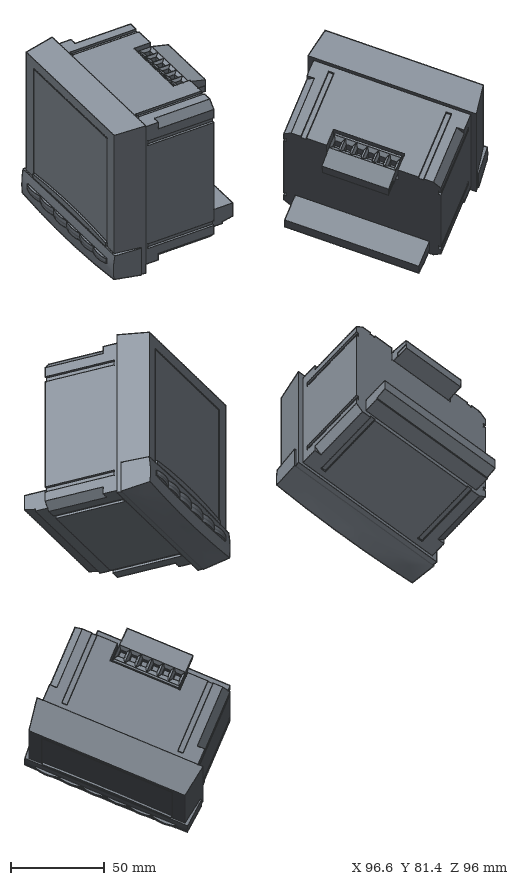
import cadquery as cq


BEZEL_SIZE = 96.0
BEZEL_DEPTH = 18.0
BEZEL_SIDE_TAPER = 2.9
BEZEL_TOP_TAPER = 1.45
BEZEL_FOOT_DEPTH = 2.8
HALF_BEZEL = BEZEL_SIZE / 2

WINDOW_WIDTH = 75.3
WINDOW_TOP = 40.1
WINDOW_DEPTH = 0.5
LIP_WIDTH = 74.6
LIP_END_TOP = -27.8
LIP_MID_TOP = -25.7
LIP_FRONT = -18.7

COVER_WIDTH = 96.6
COVER_FRONT_WIDTH = 93.9
COVER_TOP = -30.4
COVER_MID_TOP = -29.5
COVER_CORNER_BOTTOM = -45.5
COVER_TOP_FRONT = -19.2
COVER_BULGE_Z = -38.6
COVER_FRONT = -20.2
COVER_TRIM = 0.4
COVER_BOTTOM_FRONT = -19.6
COVER_SAGITTA = 0.6

KEY_COUNT = 6
KEY_PITCH = 13.5
KEY_FRONT = -21.3
KEY_EDGE_FRONT = -20.3
KEY_CREASE = -37.9
KEY_MID_TOP = -35.4
KEY_END_TOP = -35.8
KEY_MID_BOTTOM = -40.4
KEY_END_BOTTOM = -38.8
KEY_LEAN = 0.2

BODY_SIZE = 89.6
BODY_DEPTH = 44.3
HALF_BODY = BODY_SIZE / 2
CORNER_CHAMFER = 4.25
CHAMFER_START = 9.8
GROOVE_WIDTH = 3.0
GROOVE_OFFSET = 33.5
GROOVE_START = 3.2
GROOVE_DEPTH = 1.45

POCKET_WIDTH = 40.6
POCKET_FRONT = 34.2
CONNECTOR_WIDTH = 38.1
CONNECTOR_FRONT = 35.1
CONNECTOR_BACK = 54.8
CONNECTOR_BOTTOM = 32.8
CONNECTOR_TOP = 43.1
CONNECTOR_SHELF_TOP = 40.6
CONNECTOR_BACK_TOP = 40.5
RELIEF_TOP = 36.6
RELIEF_FRONT = 47.7
RELIEF_DEPTH = 0.2

HOLE_COUNT = 6
HOLE_PITCH = CONNECTOR_WIDTH / HOLE_COUNT
FUNNEL_FRONT = 36.2
FUNNEL_DEPTH = 1.45
HOLE_WIDTH = 3.5
HOLE_FRONT = 38.7
HOLE_BACK = 42.4
HOLE_BOTTOM = 35.7

TERMINAL_WIDTH = 76.5
TERMINAL_BACK = 60.1
TERMINAL_TOP = -30.0
TERMINAL_BOTTOM = -41.1
TERMINAL_BACK_BOTTOM = -38.6
TERMINAL_STEP_Y = 53.5
TERMINAL_STEP_Z = -40.0


def block(x0, x1, y0, y1, z0, z1):
    """Box between two opposite corners."""
    return cq.Workplane("XY").box(x1 - x0, y1 - y0, z1 - z0, centered=False).translate((x0, y0, z0))


def centred_block(width, y0, y1, z0, z1):
    """Box of the given width, centred on X = 0."""
    return block(-width / 2, width / 2, y0, y1, z0, z1)


def side_prism(width, points):
    """Prism along X, centred on X = 0, from an outline of (y, z) points."""
    return cq.Workplane("YZ").polyline(points).close().extrude(width / 2, both=True)


def lens_wire(plane, half_width, end_top, mid_top, end_bottom, mid_bottom):
    """Closed outline with upright ends, an arched top and an arched bottom."""
    return (
        plane.moveTo(-half_width, end_bottom)
        .lineTo(-half_width, end_top)
        .threePointArc((0, mid_top), (half_width, end_top))
        .lineTo(half_width, end_bottom)
        .threePointArc((0, mid_bottom), (-half_width, end_bottom))
        .close()
    )


def make_body():
    body = centred_block(BODY_SIZE, 0, BODY_DEPTH, -HALF_BODY, HALF_BODY)
    corner = (
        cq.Workplane("XZ", origin=(0, CHAMFER_START, 0))
        .polyline([
            (HALF_BODY, HALF_BODY),
            (HALF_BODY - CORNER_CHAMFER, HALF_BODY),
            (HALF_BODY, HALF_BODY - CORNER_CHAMFER),
        ])
        .close()
        .extrude(CHAMFER_START - BODY_DEPTH)
    )
    groove_pair = cq.Workplane("XY")
    for offset in (-GROOVE_OFFSET, GROOVE_OFFSET):
        groove_pair = groove_pair.union(block(
            offset - GROOVE_WIDTH / 2, offset + GROOVE_WIDTH / 2,
            GROOVE_START, BODY_DEPTH,
            HALF_BODY - GROOVE_DEPTH, HALF_BODY,
        ))
    for angle in (0, 90, 180, 270):
        body = body.cut(corner.union(groove_pair).rotate((0, 0, 0), (0, 1, 0), angle))
    return body.cut(centred_block(POCKET_WIDTH, POCKET_FRONT, BODY_DEPTH, CONNECTOR_BOTTOM, HALF_BODY))


def make_connector():
    connector = side_prism(CONNECTOR_WIDTH, [
        (POCKET_FRONT, CONNECTOR_BOTTOM),
        (POCKET_FRONT, CONNECTOR_SHELF_TOP),
        (CONNECTOR_FRONT, CONNECTOR_SHELF_TOP),
        (CONNECTOR_FRONT, CONNECTOR_TOP),
        (BODY_DEPTH, CONNECTOR_TOP),
        (CONNECTOR_BACK, CONNECTOR_BACK_TOP),
        (CONNECTOR_BACK, CONNECTOR_BOTTOM),
    ])
    half_width = CONNECTOR_WIDTH / 2
    for x in (-half_width, half_width):
        connector = connector.cut(block(
            x - RELIEF_DEPTH, x + RELIEF_DEPTH,
            RELIEF_FRONT, CONNECTOR_BACK,
            CONNECTOR_BOTTOM, RELIEF_TOP,
        ))
    mouth_y = (FUNNEL_FRONT + BODY_DEPTH) / 2
    hole_y = (HOLE_FRONT + HOLE_BACK) / 2
    funnel = (
        cq.Workplane("XY", origin=(0, mouth_y, CONNECTOR_TOP))
        .rect(HOLE_PITCH, BODY_DEPTH - FUNNEL_FRONT)
        .workplane(offset=-FUNNEL_DEPTH)
        .center(0, hole_y - mouth_y)
        .rect(HOLE_WIDTH, HOLE_BACK - HOLE_FRONT)
        .loft(ruled=True)
    )
    hole = centred_block(HOLE_WIDTH, HOLE_FRONT, HOLE_BACK, HOLE_BOTTOM, CONNECTOR_TOP)
    entry = funnel.union(hole)
    for i in range(HOLE_COUNT):
        connector = connector.cut(entry.translate(((i + 0.5) * HOLE_PITCH - half_width, 0, 0)))
    return connector


def make_terminal_block():
    return side_prism(TERMINAL_WIDTH, [
        (BODY_DEPTH, TERMINAL_TOP),
        (TERMINAL_BACK, TERMINAL_TOP),
        (TERMINAL_BACK, TERMINAL_BACK_BOTTOM),
        (TERMINAL_STEP_Y, TERMINAL_STEP_Z),
        (TERMINAL_STEP_Y, TERMINAL_BOTTOM),
        (BODY_DEPTH, TERMINAL_BOTTOM),
    ])


def make_bezel():
    front_half = HALF_BEZEL - BEZEL_SIDE_TAPER
    plan = (
        cq.Workplane("XY", origin=(0, 0, -HALF_BEZEL))
        .polyline([
            (-HALF_BEZEL, 0),
            (HALF_BEZEL, 0),
            (front_half, -BEZEL_DEPTH),
            (-front_half, -BEZEL_DEPTH),
        ])
        .close()
        .extrude(BEZEL_SIZE)
    )
    profile = side_prism(BEZEL_SIZE, [
        (0, -HALF_BEZEL),
        (0, HALF_BEZEL),
        (-BEZEL_DEPTH, HALF_BEZEL - BEZEL_TOP_TAPER),
        (-BEZEL_DEPTH, COVER_TOP),
        (-BEZEL_FOOT_DEPTH, COVER_TOP),
        (-BEZEL_FOOT_DEPTH, -HALF_BEZEL),
    ])
    window_floor = WINDOW_DEPTH - BEZEL_DEPTH
    window = centred_block(WINDOW_WIDTH, -BEZEL_DEPTH, window_floor, COVER_TOP, WINDOW_TOP)
    lip = lens_wire(
        cq.Workplane("XZ", origin=(0, window_floor, 0)),
        LIP_WIDTH / 2, LIP_END_TOP, LIP_MID_TOP, COVER_TOP, COVER_MID_TOP,
    ).extrude(window_floor - LIP_FRONT)
    return plan.intersect(profile).cut(window).union(lip)


def make_cover():
    half_front = COVER_FRONT_WIDTH / 2
    back = (
        cq.Workplane("XZ", origin=(0, -BEZEL_FOOT_DEPTH, 0))
        .moveTo(-COVER_WIDTH / 2, -HALF_BEZEL)
        .lineTo(-COVER_WIDTH / 2, COVER_TOP)
        .lineTo(COVER_WIDTH / 2, COVER_TOP)
        .lineTo(COVER_WIDTH / 2, -HALF_BEZEL)
        .close()
    )
    shell = lens_wire(
        back.workplane(offset=COVER_TRIM - COVER_FRONT - BEZEL_FOOT_DEPTH),
        half_front, COVER_TOP, COVER_MID_TOP, COVER_CORNER_BOTTOM, -HALF_BEZEL,
    ).loft(ruled=True)
    turn_radius = (half_front ** 2 + COVER_SAGITTA ** 2) / (2 * COVER_SAGITTA)
    axis_y = COVER_FRONT + turn_radius
    crown = (
        cq.Workplane("YZ")
        .moveTo(axis_y, -HALF_BEZEL)
        .lineTo(COVER_BOTTOM_FRONT, -HALF_BEZEL)
        .threePointArc((COVER_FRONT, COVER_BULGE_Z), (COVER_TOP_FRONT, COVER_MID_TOP))
        .lineTo(axis_y, COVER_MID_TOP)
        .close()
        .revolve(360, (axis_y, 0), (axis_y, 1))
    )
    return shell.intersect(crown)


def make_keys():
    half_row = KEY_COUNT * KEY_PITCH / 2
    plan = cq.Workplane("XY").moveTo(-half_row, -BEZEL_DEPTH).lineTo(-half_row, KEY_EDGE_FRONT)
    for i in range(KEY_COUNT):
        left = i * KEY_PITCH - half_row
        plan = plan.threePointArc(
            (left + KEY_PITCH / 2, KEY_FRONT),
            (left + KEY_PITCH, KEY_EDGE_FRONT),
        )
    scallops = plan.lineTo(half_row, -BEZEL_DEPTH).close().wire().translate((0, 0, KEY_CREASE)).val()
    upper = cq.Solid.extrudeLinear(scallops, [], cq.Vector(0, 0, KEY_MID_TOP - KEY_CREASE))
    lower = cq.Solid.extrudeLinear(scallops, [], cq.Vector(0, KEY_LEAN, KEY_MID_BOTTOM - KEY_CREASE))
    outline = lens_wire(
        cq.Workplane("XZ", origin=(0, -BEZEL_DEPTH, 0)),
        half_row, KEY_END_TOP, KEY_MID_TOP, KEY_END_BOTTOM, KEY_MID_BOTTOM,
    ).extrude(-KEY_FRONT - BEZEL_DEPTH)
    return cq.Workplane(upper).union(cq.Workplane(lower)).intersect(outline)


result = (
    make_body()
    .union(make_connector())
    .union(make_terminal_block())
    .union(make_bezel())
    .union(make_cover())
    .union(make_keys())
)